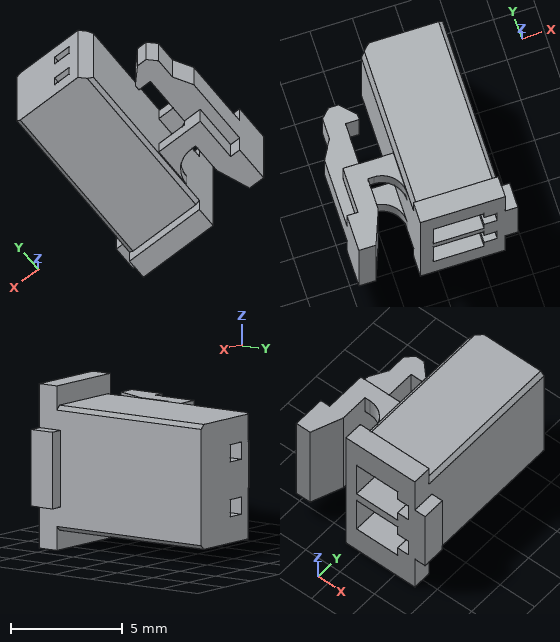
import cadquery as cq


total_width = 7.5
total_length = 9.1
total_height = 7.5

body_left = 2.89
body_width = 4.0
body_height = 5.7
body_right = body_left + body_width
flange_thickness = 1.0
key_height = 3.49
key_length = 1.2
edge_chamfer = 0.2
rear_chamfer = 0.5

cavity_pitch = 2.5
cavity_left = body_left + 0.62
cavity_width = 2.38
cavity_height = 2.02
cavity_right = cavity_left + cavity_width
step_width = 0.62
step_height = 0.965
rear_wall = 1.0
cavity_depth = total_length - rear_wall
hole_left = cavity_left + 0.39
hole_width = 0.82
hole_height = 0.78

lever_height = 4.99
hook_height = 2.11
lever_inner = 1.43
thumb_tip_width = 0.81
thumb_taper_length = 1.59
thumb_length = 1.73
recess_depth = 0.52
outer_bend_start = 5.01
outer_bend_end = 5.91
nose_start = 6.91
hook_tip = 7.31
nose_left = 0.92
nose_right = 1.4
barb_reach = 2.08
barb_shoulder = 6.62
barb_back = 6.35

bridge_gap = 3.02
bridge_rear = 3.91
bridge_front = 3.1
bridge_radius = 1.17


def centred_block(left, right, front, rear, height):
    """Block between X and Y limits, centred on Z = 0."""
    width = right - left
    length = rear - front
    return cq.Workplane("XY").box(width, length, height).translate(
        (left + width / 2, front + length / 2, 0)
    )


def extrude_centred(outline, height):
    """Extrude a closed XY outline equally above and below Z = 0."""
    return outline.close().extrude(height / 2, both=True)


def make_housing():
    body = centred_block(body_left, body_right, 0, total_length, body_height)
    body = body.edges("|Y").chamfer(edge_chamfer)
    rear_corner = extrude_centred(
        cq.Workplane("XY")
        .moveTo(body_left, total_length)
        .lineTo(body_left + rear_chamfer, total_length)
        .lineTo(body_left, total_length - rear_chamfer),
        body_height,
    )
    flange = centred_block(body_left, body_right, 0, flange_thickness, total_height)
    key = centred_block(body_right, total_width, 0, key_length, key_height)
    return body.cut(rear_corner).union(flange).union(key)


def make_cavity(z):
    main = centred_block(cavity_left, cavity_right, 0, cavity_depth, cavity_height)
    step = centred_block(cavity_right, cavity_right + step_width, 0, cavity_depth, step_height)
    hole = centred_block(hole_left, hole_left + hole_width, 0, total_length, hole_height)
    return main.union(step).union(hole).translate((0, 0, z))


def make_lever():
    """Thumb plate, recessed behind its pad, with the two bridges to the body."""
    lever = extrude_centred(
        cq.Workplane("XY")
        .lineTo(thumb_tip_width, 0)
        .lineTo(lever_inner, thumb_taper_length)
        .lineTo(lever_inner, bridge_front)
        .lineTo(body_left - bridge_radius, bridge_front)
        .radiusArc((body_left, bridge_front - bridge_radius), bridge_radius)
        .lineTo(body_left, bridge_rear)
        .lineTo(recess_depth, bridge_rear)
        .lineTo(recess_depth, thumb_length)
        .lineTo(0, thumb_length),
        lever_height,
    )
    gap = centred_block(lever_inner, body_left, 0, bridge_rear, bridge_gap)
    return lever.cut(gap)


def make_hook():
    return extrude_centred(
        cq.Workplane("XY")
        .lineTo(0, outer_bend_start)
        .lineTo(recess_depth, outer_bend_end)
        .lineTo(recess_depth, nose_start)
        .lineTo(nose_left, hook_tip)
        .lineTo(nose_right, hook_tip)
        .lineTo(barb_reach, barb_shoulder)
        .lineTo(barb_reach, barb_back)
        .lineTo(lever_inner, barb_back)
        .lineTo(lever_inner, thumb_taper_length)
        .lineTo(thumb_tip_width, 0),
        hook_height,
    )


housing = make_housing()
for z in (-cavity_pitch / 2, cavity_pitch / 2):
    housing = housing.cut(make_cavity(z))

result = housing.union(make_lever()).union(make_hook())